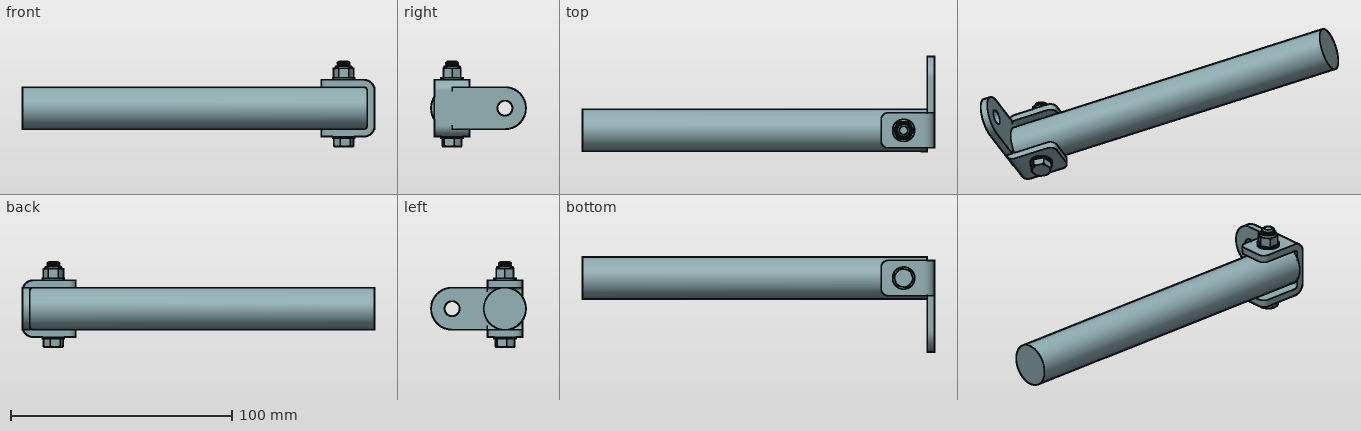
import cadquery as cq
import math

overall_length = 159.3
tube_diameter = 19.1

sheet_thickness = 3.3
strap_width = 16.0
strap_length = 24.2
bend_inner_radius = 1.6
strap_corner_radius = 3.2
arm_reach = 23.9
arm_hole_diameter = 6.7

tube_radius = tube_diameter / 2
tube_end = overall_length - sheet_thickness
strap_start = overall_length - strap_length
strap_half_height = tube_radius + sheet_thickness
bend_outer_radius = bend_inner_radius + sheet_thickness

bolt_x = 145.2
flange_diameter = 10.0
flange_thickness = 0.8
hex_sides = 6
hex_across_flats = 8.0
head_hex_height = 3.7
head_turn = 11.0
head_chamfer = 0.5
nut_hex_height = 4.3
collar_height = 1.0
collar_top_diameter = 7.0
bolt_top = 21.2
thread_diameter = 5.7
thread_root_diameter = 4.8
thread_tip_diameter = 3.8
thread_pitch = 1.0
thread_flat = 0.2

hex_across_corners = hex_across_flats / math.cos(math.pi / hex_sides)
collar_base_z = strap_half_height + flange_thickness + nut_hex_height
collar_top_z = collar_base_z + collar_height


def make_tube():
    """Tube body, running up to the inner face of the strap web."""
    return cq.Workplane("YZ").circle(tube_radius).extrude(tube_end)


def make_strap():
    """U-shaped strap with rounded bends and rounded leg corners."""
    outer = (
        cq.Workplane("XY", origin=(strap_start, 0, 0))
        .box(strap_length, strap_width, 2 * strap_half_height, centered=(False, True, True))
        .edges("|Y and >X")
        .fillet(bend_outer_radius)
    )
    inner = (
        cq.Workplane("XY", origin=(strap_start, 0, 0))
        .box(strap_length - sheet_thickness, strap_width, tube_diameter, centered=(False, True, True))
        .edges("|Y and >X")
        .fillet(bend_inner_radius)
    )
    return outer.cut(inner).edges("|Z and <X").fillet(strap_corner_radius)


def make_arm():
    """Flat arm in the plane of the strap web, with a round end and a hole."""
    return (
        cq.Workplane("YZ", origin=(tube_end, 0, 0))
        .moveTo(0, -tube_radius)
        .lineTo(arm_reach, -tube_radius)
        .threePointArc((arm_reach + tube_radius, 0), (arm_reach, tube_radius))
        .lineTo(0, tube_radius)
        .close()
        .moveTo(arm_reach, 0)
        .circle(arm_hole_diameter / 2)
        .extrude(sheet_thickness)
    )


def bolt_plane(z):
    """Horizontal workplane centred on the bolt axis."""
    return cq.Workplane("XY", origin=(bolt_x, 0, z))


def make_head():
    """Flange and hexagon under the lower strap leg."""
    flange = bolt_plane(-strap_half_height).circle(flange_diameter / 2).extrude(-flange_thickness)
    hexagon = (
        bolt_plane(-strap_half_height - flange_thickness)
        .transformed(rotate=(0, 0, head_turn))
        .polygon(hex_sides, hex_across_corners)
        .extrude(-head_hex_height)
    )
    hex_bottom = -strap_half_height - flange_thickness - head_hex_height
    corner_cone = (
        bolt_plane(hex_bottom)
        .circle(hex_across_corners / 2 - head_chamfer)
        .workplane(offset=head_chamfer)
        .circle(hex_across_corners / 2)
        .loft()
    )
    upper_bound = (
        bolt_plane(hex_bottom + head_chamfer)
        .circle(hex_across_corners / 2)
        .extrude(head_hex_height - head_chamfer)
    )
    return flange.union(hexagon.intersect(corner_cone.union(upper_bound)))


def make_nut():
    """Flange, hexagon and tapered locking collar on the upper strap leg."""
    flange = bolt_plane(strap_half_height).circle(flange_diameter / 2).extrude(flange_thickness)
    hexagon = (
        bolt_plane(strap_half_height + flange_thickness)
        .polygon(hex_sides, hex_across_corners)
        .extrude(nut_hex_height)
    )
    collar = (
        bolt_plane(collar_base_z)
        .circle(hex_across_flats / 2)
        .workplane(offset=collar_height)
        .circle(collar_top_diameter / 2)
        .loft()
    )
    return flange.union(hexagon).union(collar)


def make_thread_end():
    """Exposed bolt end: ring-shaped thread crests and a tapered tip."""
    root = thread_root_diameter / 2
    crest = thread_diameter / 2
    ring_count = math.floor((bolt_top - collar_top_z) / thread_pitch)
    profile = cq.Workplane("XZ", origin=(bolt_x, 0, 0)).moveTo(0, collar_base_z).lineTo(root, collar_base_z)
    for ring in range(ring_count):
        ring_start = collar_top_z + ring * thread_pitch
        ring_middle = ring_start + thread_pitch / 2
        ring_end = ring_start + thread_pitch
        profile = (
            profile.lineTo(root, ring_start + thread_flat / 2)
            .lineTo(crest, ring_middle - thread_flat / 2)
            .lineTo(crest, ring_middle + thread_flat / 2)
            .lineTo(root, ring_end - thread_flat / 2)
        )
    profile = profile.lineTo(thread_tip_diameter / 2, bolt_top).lineTo(0, bolt_top).close()
    return profile.revolve(360, (0, 0, 0), (0, 1, 0))


result = make_tube()
for piece in (make_strap(), make_arm(), make_head(), make_nut(), make_thread_end()):
    result = result.union(piece)